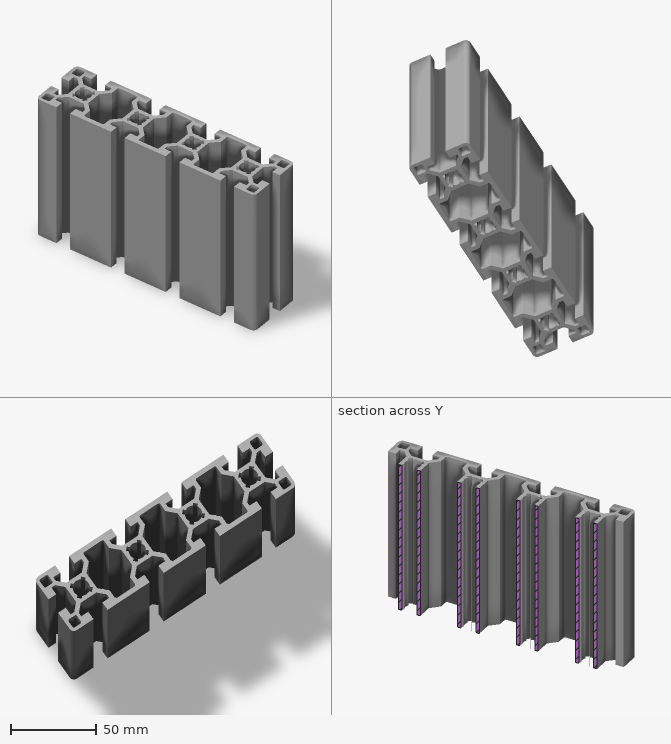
import cadquery as cq

CELL = 40.0
CELL_COUNT = 4
LENGTH = 100.0
CORNER_RADIUS = 3.0

SLOT_OPENING = 10.0
SLOT_WIDTH = 20.0
LIP_THICKNESS = 5.5
CORE_HALF = 7.5
WEB_OFFSET = 1.95

CHAMBER_WIDTH = 14.5
CHAMBER_WALL = 3.0
CHAMBER_RADIUS = 1.0

CORNER_HOLE = 6.0
CORNER_HOLE_WALL = 2.1
CORNER_HOLE_RADIUS = 1.0

BORE_RADIUS = 5.1
NOTCH_MOUTH_WIDTH = 2.65
NOTCH_BOTTOM_WIDTH = 2.9
NOTCH_REACH = 6.6

HALF_CELL = CELL / 2
WIDTH = CELL * CELL_COUNT
CORE_EDGE = CORE_HALF - WEB_OFFSET
CELL_CENTRES = [(i - (CELL_COUNT - 1) / 2) * CELL for i in range(CELL_COUNT)]


def prism(points):
    """Full-length prism over a closed outline."""
    return cq.Workplane("XY").polyline(points).close().extrude(LENGTH)


def turned(cutter, angle):
    """Cutter turned about the Z axis by an angle in degrees."""
    return cutter.rotate((0, 0, 0), (0, 0, 1), angle)


def slot_cutter():
    """T-slot opening toward +Y, for a cell centred on the origin."""
    lip = HALF_CELL - LIP_THICKNESS
    half = SLOT_WIDTH / 2
    opening = SLOT_OPENING / 2
    right = [
        (CORE_EDGE, CORE_HALF),
        (half, half + WEB_OFFSET),
        (half, lip),
        (opening, lip),
        (opening, HALF_CELL),
    ]
    left = [(-x, y) for x, y in reversed(right)]
    return prism(right + left)


def chamber_cutter():
    """Hollow between two cells, centred on the boundary they share."""
    core_face = HALF_CELL - CORE_HALF
    side = CHAMBER_WIDTH / 2
    top = HALF_CELL - CHAMBER_WALL
    shoulder = HALF_CELL - side - WEB_OFFSET
    upper = [(core_face, CORE_EDGE), (side, shoulder), (side, top)]
    upper += [(-x, y) for x, y in reversed(upper)]
    lower = [(x, -y) for x, y in reversed(upper)]
    hollow = prism(upper + lower)
    for end in (">Y", "<Y"):
        hollow = hollow.faces(end).edges("|Z").fillet(CHAMBER_RADIUS)
    return hollow


def bore_cutter():
    """Screw channel of one core; the notches widen slightly toward their bottoms."""
    mouth = NOTCH_MOUTH_WIDTH / 2
    bottom = NOTCH_BOTTOM_WIDTH / 2
    notch = prism(
        [
            (0, -mouth),
            (BORE_RADIUS, -mouth),
            (NOTCH_REACH, -bottom),
            (NOTCH_REACH, bottom),
            (BORE_RADIUS, mouth),
            (0, mouth),
        ]
    )
    cutter = cq.Workplane("XY").circle(BORE_RADIUS).extrude(LENGTH)
    for angle in (45, 135, 225, 315):
        cutter = cutter.union(turned(notch, angle))
    return cutter


def corner_hole_cutters():
    """Rounded square holes in the four outer corners."""
    inset = CORNER_HOLE_WALL + CORNER_HOLE / 2
    return (
        cq.Workplane("XY")
        .rect(WIDTH - 2 * inset, CELL - 2 * inset, forConstruction=True)
        .vertices()
        .rect(CORNER_HOLE, CORNER_HOLE)
        .extrude(LENGTH)
        .edges("|Z")
        .fillet(CORNER_HOLE_RADIUS)
    )


def build():
    """Solid bar with the slots, bores, chambers and corner holes cut through it."""
    body = cq.Workplane("XY").rect(WIDTH, CELL).extrude(LENGTH)
    body = body.edges("|Z").fillet(CORNER_RADIUS)

    slot = slot_cutter()
    bore = bore_cutter()
    for x in CELL_CENTRES:
        body = body.cut(slot.translate((x, 0, 0)))
        body = body.cut(turned(slot, 180).translate((x, 0, 0)))
        body = body.cut(bore.translate((x, 0, 0)))
    body = body.cut(turned(slot, 90).translate((CELL_CENTRES[0], 0, 0)))
    body = body.cut(turned(slot, -90).translate((CELL_CENTRES[-1], 0, 0)))

    chamber = chamber_cutter()
    for x in CELL_CENTRES[:-1]:
        body = body.cut(chamber.translate((x + HALF_CELL, 0, 0)))
    return body.cut(corner_hole_cutters())


result = build()